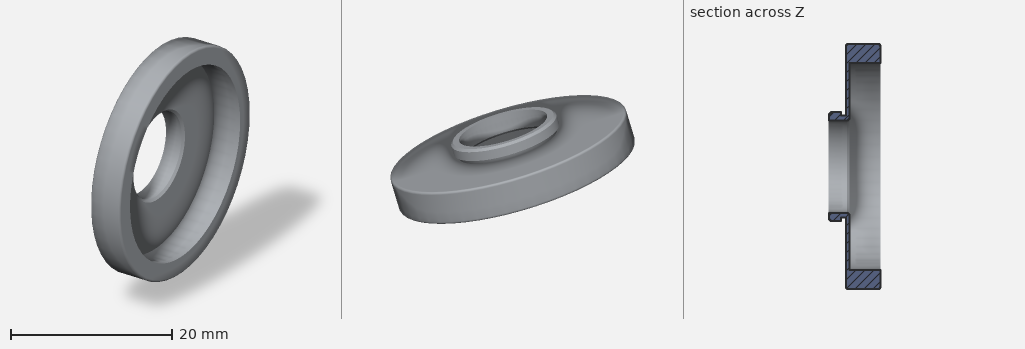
import cadquery as cq

DISC_DIAMETER = 30.5
DISC_THICKNESS = 4.3
DISC_EDGE_RADIUS = 0.3
HUB_DIAMETER = 13.6
HUB_CHAMFER = 0.3
NECK_DIAMETER = 12.7
NECK_LENGTH = 0.6
BORE_DIAMETER = 11.4
BORE_CHAMFER = 0.3
TOTAL_LENGTH = 6.4
RECESS_DIAMETER = 25.6
FLOOR_THICKNESS = 0.5

DISC_START = TOTAL_LENGTH - DISC_THICKNESS
HUB_LENGTH = DISC_START - NECK_LENGTH
RECESS_START = DISC_START + FLOOR_THICKNESS
RECESS_DEPTH = TOTAL_LENGTH - RECESS_START


def cylinder(diameter, start, length):
    """Solid cylinder on the X axis, extending from start towards +X."""
    return cq.Workplane("YZ", origin=(start, 0, 0)).circle(diameter / 2).extrude(length)


def make_disc():
    """Flat disc with both outer rims rounded."""
    disc = cylinder(DISC_DIAMETER, DISC_START, DISC_THICKNESS)
    return disc.edges("%CIRCLE").fillet(DISC_EDGE_RADIUS)


def make_neck():
    """Narrower neck between the hub and the disc."""
    return cylinder(NECK_DIAMETER, HUB_LENGTH, NECK_LENGTH)


def make_hub():
    """Short hub with a chamfered free end."""
    return cylinder(HUB_DIAMETER, 0, HUB_LENGTH).faces("<X").edges().chamfer(HUB_CHAMFER)


def make_bore():
    """Cutter for the through hole along the whole part."""
    return cylinder(BORE_DIAMETER, 0, TOTAL_LENGTH)


def make_recess():
    """Cutter for the round recess open to the +X face, leaving a thin floor next to the hub."""
    return cylinder(RECESS_DIAMETER, RECESS_START, RECESS_DEPTH)


def chamfer_bore_edge(body):
    """Bevel the inner edge of the recess floor, where the bore opens into it."""
    recess_floor = body.faces("|X").faces(">X[-2]")
    return recess_floor.edges(cq.selectors.RadiusNthSelector(0)).chamfer(BORE_CHAMFER)


body = make_disc().union(make_neck()).union(make_hub())
body = body.cut(make_bore()).cut(make_recess())
result = chamfer_bore_edge(body)